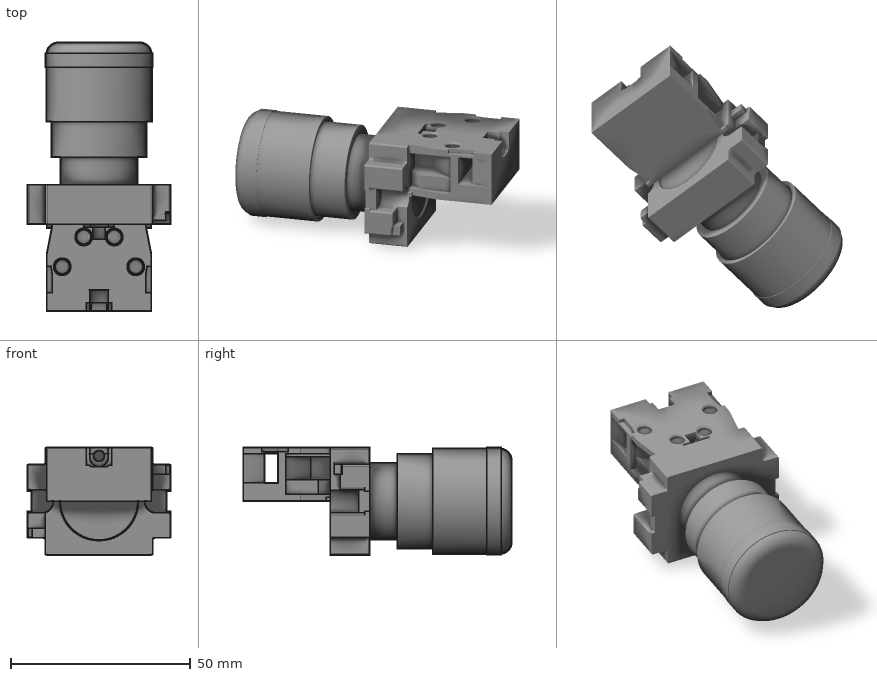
import cadquery as cq
import math


overall_length = 75.0

shank_radius = 10.8
neck_radius = 13.3
neck_gap = 0.25
neck_gap_depth = 3.0
skirt_radius = 14.8
cap_radius = 15.0
neck_start = 7.65
skirt_start = 17.55
cap_start = 32.7
button_end = 39.7
dome_height = 3.0
dome_radius = 14.7
dome_rounding = 3.5
dome_start = button_end - dome_height
dome_flat_radius = dome_radius - math.sqrt(dome_rounding**2 - (dome_rounding - dome_height)**2)

collar_depth = 11.0
collar_half_size = 15.0
ear_reach = 20.0
ear_half_height = 10.25
edge_rounding = 0.5
shank_hole_radius = 11.0
shank_recess = 0.5
notch_half_height = 3.27
notch_arc_x = 16.0
notch_floor_y = -3.0
lip_half_height = 2.85
lip_depth = 1.4
web_reach = 18.85
short_ear_depth = 8.15
peg_depth = 9.9
peg_reach = 18.6
peg_bottom = 7.55
peg_corner_depth = 7.85
corner_chamfer = 0.25
edge_margin = 0.3

block_front = -collar_depth
block_rear = button_end - overall_length
block_half_width = 14.6
block_height = 15.0
taper_half_width = 12.97
taper_end = -19.3
tab_depth = 1.1
tab_height = 1.15

side_recess_end = -23.4
side_recess_bottom = 2.0
side_recess_top = 13.25
ledge_top = 6.05
upper_top = 12.35
ledge_half_width = 12.8
ledge_slant_start = -14.35
upper_slant_start = -16.35
slant_ratio = 0.83

window_front = -25.6
window_rear = -29.3
window_bottom = 5.1
window_ramp_half_width = 12.95

grip_front = -22.7
grip_rear = -30.1
grip_half_width = 13.4
grip_depth = 1.15

slot_radius = 2.6
slot_center_z = 12.2
slot_length = 5.9
slot_end = block_rear + slot_length
mouth_half_width = 3.55
mouth_bottom = 10.05
mouth_depth = 2.4
groove_chamfer = 0.4
screw_hole_radius = 1.5
screw_hole_z = 12.65
screw_hole_end = -20.0

front_mouth_half_width = 4.2
front_mouth_depth = 0.9
front_slot_radius = 1.75
front_slot_end = -15.3

terminal_radius = 2.0
terminal_rim_radius = 2.4
terminal_depth = 1.2
terminal_positions = [(-4.25, -14.6), (4.25, -14.6), (-10.25, -22.9), (10.25, -22.9)]


def box(x_range, y_range, z_range):
    """Box between two X, two Y and two Z positions, in any order."""
    sizes = [abs(b - a) for a, b in (x_range, y_range, z_range)]
    lows = [min(r) for r in (x_range, y_range, z_range)]
    return cq.Workplane("XY").box(*sizes, centered=False).translate(tuple(lows))


def span(half_size):
    """Pair of positions centred on zero."""
    return (-half_size, half_size)


def cylinder_y(radius, y_start, y_end, x=0.0, z=0.0):
    """Cylinder parallel to Y."""
    solid = cq.Solid.makeCylinder(radius, abs(y_end - y_start), cq.Vector(x, min(y_start, y_end), z),
                                  cq.Vector(0, 1, 0))
    return cq.Workplane(solid)


def plan_prism(points, z_bottom, z_top):
    """Prism from an XY outline."""
    return cq.Workplane("XY").workplane(offset=z_bottom).polyline(points).close().extrude(z_top - z_bottom)


def edges_near(center, reach):
    """Selector for edges whose middle lies within the given reach of a point along X, Y and Z."""
    low = tuple(c - r for c, r in zip(center, reach))
    high = tuple(c + r for c, r in zip(center, reach))
    return cq.selectors.BoxSelector(low, high)


def both_sides(shape):
    """The shape together with its mirror image across X = 0."""
    return shape.union(shape.mirror("YZ"))


def make_button():
    """Single turned profile, with the neck standing in a clearance groove in the skirt's rear face."""
    groove_radius = neck_radius + neck_gap
    groove_end = skirt_start + neck_gap_depth
    profile = (
        cq.Workplane("XY")
        .moveTo(0, -collar_depth + shank_recess)
        .lineTo(shank_radius, -collar_depth + shank_recess)
        .lineTo(shank_radius, neck_start)
        .lineTo(neck_radius, neck_start)
        .lineTo(neck_radius, groove_end)
        .lineTo(groove_radius, groove_end)
        .lineTo(groove_radius, skirt_start)
        .lineTo(skirt_radius, skirt_start)
        .lineTo(skirt_radius, cap_start)
        .lineTo(cap_radius, cap_start)
        .lineTo(cap_radius, dome_start)
        .lineTo(dome_radius, dome_start)
        .radiusArc((dome_flat_radius, button_end), -dome_rounding)
        .lineTo(0, button_end)
        .close()
    )
    return profile.revolve(360, (0, 0), (0, 1))


def make_collar():
    """Square collar with notched side ears and a clearance hole for the shank."""
    core = box(span(collar_half_size), (-collar_depth, 0), span(collar_half_size))
    ears = box(span(ear_reach), (-collar_depth, 0), span(ear_half_height))
    collar = core.union(ears).edges("|Y").fillet(edge_rounding)

    collar = collar.cut(cylinder_y(shank_hole_radius, -collar_depth, 0))

    web_gap = box((web_reach, ear_reach), (-collar_depth, 0), span(lip_half_height))
    wide_gap = box((web_reach, ear_reach), (-collar_depth, -lip_depth), span(notch_half_height))
    notch = box((notch_arc_x, ear_reach), (-collar_depth, notch_floor_y), span(notch_half_height))
    notch_end = cylinder_y(notch_half_height, -collar_depth, notch_floor_y, x=notch_arc_x)
    collar = collar.cut(both_sides(web_gap.union(wide_gap).union(notch).union(notch_end)))

    for side in span(1):
        edges = edges_near((side * ear_reach, (-collar_depth - lip_depth) / 2, 0),
                           (edge_margin, edge_margin, notch_half_height + edge_margin))
        collar = collar.edges(edges).fillet(edge_rounding)

    ear_side = ear_half_height + edge_rounding
    ear_end = box((collar_half_size, ear_reach), (-collar_depth, -short_ear_depth), (0, ear_side))
    peg = box((collar_half_size, peg_reach), (-peg_depth, -short_ear_depth), (peg_bottom, ear_side))
    corner = box((peg_reach, ear_reach), (-short_ear_depth, -peg_corner_depth), (peg_bottom, ear_side))
    ear_cut = ear_end.cut(peg).union(corner)
    for side in span(1):
        half_turn = 0 if side > 0 else 180
        collar = collar.cut(ear_cut.rotate((0, 0, 0), (0, 1, 0), half_turn))
        corner_rim = edges_near((side * ear_reach, -peg_corner_depth, side * ear_half_height),
                                (ear_reach - peg_reach - edge_margin, edge_margin,
                                 ear_half_height - peg_bottom - edge_margin))
        collar = collar.edges(corner_rim).chamfer(corner_chamfer)
    return collar


def side_recess():
    """Recess in the +X side: a slanted ledge below and a deeper slanted pocket above."""
    outside = block_half_width
    ledge_inner = ledge_half_width - slant_ratio * (block_front - ledge_slant_start)
    upper_inner = ledge_half_width - slant_ratio * (upper_slant_start - side_recess_end)
    ledge = plan_prism([(outside, block_front), (ledge_inner, block_front),
                        (ledge_half_width, ledge_slant_start), (ledge_half_width, side_recess_end),
                        (outside, side_recess_end)],
                       side_recess_bottom, ledge_top)
    upper = plan_prism([(outside, block_front), (upper_inner, block_front), (upper_inner, upper_slant_start),
                        (ledge_half_width, side_recess_end), (outside, side_recess_end)],
                       ledge_top, upper_top)
    strip = box((ledge_half_width, outside), (side_recess_end, block_front), (upper_top, side_recess_top))
    return ledge.union(upper).union(strip)


def make_block():
    """Contact block against the upper half of the collar's rear face."""
    outline = [
        (-block_half_width, block_rear), (block_half_width, block_rear), (block_half_width, taper_end),
        (taper_half_width, block_front), (-taper_half_width, block_front), (-block_half_width, taper_end),
    ]
    block = plan_prism(outline, 0, block_height)
    block = block.union(box(span(block_half_width), (block_front - tab_depth, block_front),
                            (0, tab_height)))
    block = block.cut(both_sides(side_recess()))

    window = box(span(block_half_width), (window_rear, window_front),
                 (window_bottom, side_recess_top))
    ramp = plan_prism([(window_ramp_half_width, window_rear), (block_half_width, window_rear),
                       (block_half_width, block_rear)], window_bottom, side_recess_top)
    block = block.cut(window).cut(both_sides(ramp))

    grip = plan_prism([(block_half_width, grip_front), (grip_half_width, grip_front),
                       (taper_half_width, window_front), (taper_half_width, grip_rear),
                       (block_half_width, grip_rear)], block_height - grip_depth, block_height)
    block = block.cut(both_sides(grip))

    slot = cylinder_y(slot_radius, block_rear, slot_end, z=slot_center_z)
    slot = slot.union(box(span(slot_radius), (block_rear, slot_end), (slot_center_z, block_height)))
    mouth = box(span(mouth_half_width), (block_rear, block_rear + mouth_depth),
                (mouth_bottom, block_height))
    groove = box(span(slot_radius), (block_rear, block_rear + mouth_depth),
                 (slot_center_z - slot_radius, mouth_bottom)).edges("|Y and <Z").chamfer(groove_chamfer)
    screw_hole = cylinder_y(screw_hole_radius, block_rear, screw_hole_end, z=screw_hole_z)
    block = block.cut(slot).cut(mouth).cut(groove).cut(screw_hole)

    front_slot = cylinder_y(front_slot_radius, front_slot_end, block_front, z=screw_hole_z)
    front_slot = front_slot.union(box(span(front_slot_radius), (front_slot_end, block_front),
                                      (screw_hole_z, block_height)))
    front_seat = cylinder_y(slot_radius, block_front - front_mouth_depth, block_front, z=slot_center_z)
    front_mouth = box(span(front_mouth_half_width),
                      (block_front - front_mouth_depth, block_front), (slot_center_z, block_height))
    block = block.cut(front_slot).cut(front_seat).cut(front_mouth)

    rim = terminal_rim_radius - terminal_radius
    for x, y in terminal_positions:
        well = (cq.Workplane("XY").circle(terminal_radius).extrude(terminal_depth)
                .translate((x, y, block_height - terminal_depth)))
        cone = cq.Solid.makeCone(terminal_radius, terminal_rim_radius, rim,
                                 cq.Vector(x, y, block_height - rim))
        block = block.cut(well).cut(cq.Workplane(cone))
    return block


button = make_button()
collar = make_collar()
block = make_block()
result = cq.Compound.makeCompound([button.val(), collar.val(), block.val()])